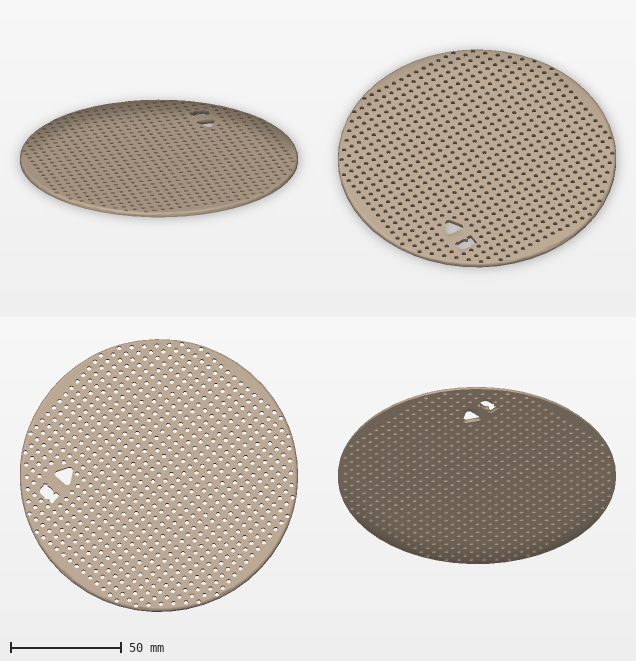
import cadquery as cq
import math

disc_diameter = 125.6
thickness = 2.0
rim_radius = 1.5

hole_diameter = 2.0
steps_from_center = 14
grid_half_width = 56.0
pitch = grid_half_width / steps_from_center
hole_center_limit = 61.5

window_middle_row = 8
window_first_column = -10
window_last_column = -7

window_center = (-28.1, 31.6)
window_circumradius = 6.2
window_corner_radius = 1.5

foot_left = -41.8
foot_right = -36.5
foot_bottom = 27.4
foot_top = 29.6
neck_left = -41.0
neck_right = -37.7
body_left = foot_left
body_right = -36.9
dome_start_y = 33.8
dome_shoulder = (-41.1, 35.4)
dome_top = (-39.3, 36.2)
beak_root = (-38.0, 35.8)
beak_upper_tip = (-37.7, 36.5)
beak_lower_tip = (-36.2, 35.0)
beak_chin_y = 34.4
chest_bulge = (-36.7, 32.4)
chest_bottom_y = 30.9
neck_right_top_y = 30.1
tail_tip = (-42.5, 31.3)
tail_upper_y = 31.9


def disc():
    blank = cq.Workplane("XY").circle(disc_diameter / 2).extrude(thickness)
    return blank.faces(">Z").edges().fillet(rim_radius)


def beside_windows(column, row):
    """True where the grid leaves out holes to make room for the two windows."""
    last_column = window_last_column
    if row == window_middle_row:
        last_column += 1
    in_rows = abs(row - window_middle_row) <= 1
    return in_rows and window_first_column <= column <= last_column


def grid_points():
    steps = range(-steps_from_center, steps_from_center + 1)
    points = []
    for column in steps:
        for row in steps:
            inside_rim = math.hypot(column, row) * pitch < hole_center_limit
            if inside_rim and not beside_windows(column, row):
                points.append((column * pitch, row * pitch))
    return points


def drain_holes():
    return cq.Workplane("XY").pushPoints(grid_points()).circle(hole_diameter / 2).extrude(thickness)


def triangular_window():
    corners = []
    for angle in (0, 120, 240):
        x = window_center[0] + window_circumradius * math.cos(math.radians(angle))
        y = window_center[1] + window_circumradius * math.sin(math.radians(angle))
        corners.append((x, y))
    prism = cq.Workplane("XY").polyline(corners).close().extrude(thickness)
    return prism.edges("|Z").fillet(window_corner_radius)


def figure_window():
    return (
        cq.Workplane("XY")
        .moveTo(foot_left, foot_bottom)
        .lineTo(foot_right, foot_bottom)
        .lineTo(foot_right, foot_top)
        .lineTo(neck_right, foot_top)
        .lineTo(neck_right, neck_right_top_y)
        .lineTo(body_right, chest_bottom_y)
        .threePointArc(chest_bulge, (body_right, beak_chin_y))
        .lineTo(*beak_lower_tip)
        .lineTo(*beak_upper_tip)
        .lineTo(*beak_root)
        .lineTo(*dome_top)
        .threePointArc(dome_shoulder, (body_left, dome_start_y))
        .lineTo(body_left, tail_upper_y)
        .lineTo(*tail_tip)
        .lineTo(neck_left, foot_top)
        .lineTo(foot_left, foot_top)
        .close()
        .extrude(thickness)
    )


result = disc().cut(drain_holes()).cut(triangular_window()).cut(figure_window())